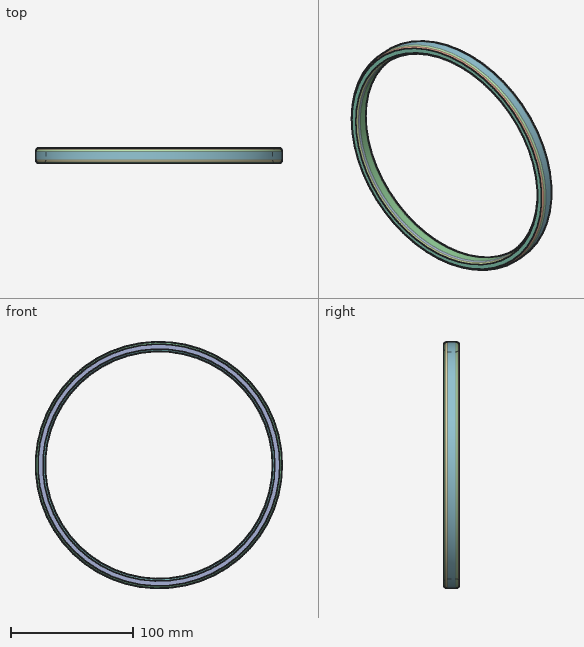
import cadquery as cq
import math

outer_radius = 100.8
inner_radius = 92.7
width = 12.7
land_width = 6.7

crown_width = 1.8
crown_angle = math.radians(33)
corner_depth = 2.0

crown_radius = crown_width / math.sin(crown_angle)
crown_depth = crown_radius * (1 - math.cos(crown_angle))

shoulder_width = (width - land_width) / 2 - crown_width
shoulder_rise = corner_depth - crown_depth
shoulder_slope = math.atan2(shoulder_rise, shoulder_width)
shoulder_chord = math.hypot(shoulder_rise, shoulder_width)
shoulder_bulge = shoulder_chord / 2 * math.tan((shoulder_slope - crown_angle) / 2)


def add_round_face(section, radius, inward, start_sign):
    """Draw shoulder, crown, round face, crown and shoulder across the width.

    X is the radius and Y the axial position. `inward` is the radial direction
    into the material; `start_sign` is the side of the ring to start from.
    """
    side = start_sign * width / 2
    land_end = start_sign * land_width / 2
    crown_end = land_end + start_sign * crown_width
    crown_end_radius = radius + inward * crown_depth
    side_radius = radius + inward * corner_depth
    shoulder_middle = (
        (crown_end_radius + side_radius) / 2 - inward * shoulder_bulge * math.cos(shoulder_slope),
        (crown_end + side) / 2 + start_sign * shoulder_bulge * math.sin(shoulder_slope),
    )
    return (
        section.lineTo(side_radius, side)
        .threePointArc(shoulder_middle, (crown_end_radius, crown_end))
        .tangentArcPoint((radius, land_end), relative=False)
        .lineTo(radius, -land_end)
        .tangentArcPoint((crown_end_radius, -crown_end), relative=False)
        .tangentArcPoint((side_radius, -side), relative=False)
    )


mid_radius = (outer_radius + inner_radius) / 2
section = cq.Workplane("XY").moveTo(mid_radius, -width / 2)
section = add_round_face(section, outer_radius, inward=-1, start_sign=-1)
section = add_round_face(section, inner_radius, inward=1, start_sign=1)
result = section.close().revolve(360, (0, 0, 0), (0, 1, 0)).clean()